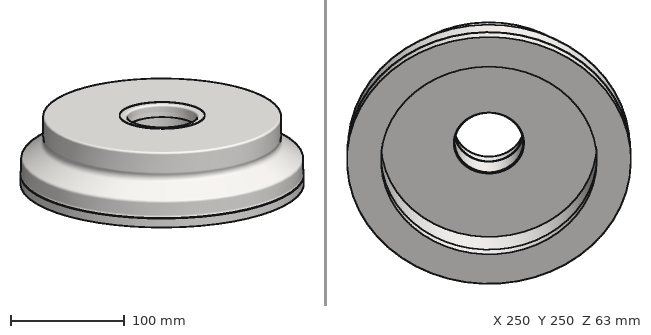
import cadquery as cq
import math


outer_radius = 125.0
total_height = 63.0
ring_height = 8.2
cavity_radius = 95.0

rim_radius = 124.2
lip_top_z = 9.0
flare_radius = 3.8
rim_wall_top_z = 22.5
rim_round = 3.0

shoulder_angle = math.radians(34)
neck_radius_lower = 6.0
neck_radius_upper = 5.0
undercut_angle = math.radians(20)

cap_radius = 105.0
cap_round = 2.0

recess_radius = 37.5
recess_depth = 0.5
mouth_radius = 30.8
mouth_round = 2.0
ledge_radius = 30.5
bore_radius = 30.0
taper_start_depth = 7.2
mouth_depth = 11.8
web_thickness = 32.0
bore_end_chamfer = 1.0


def on_arc(center, radius, angle):
    """Point of a circle in the (radius, z) half plane, angle measured from outward."""
    return (center[0] + radius * math.cos(angle), center[1] + radius * math.sin(angle))


def make_ring():
    return (
        cq.Workplane("XY")
        .circle(outer_radius)
        .circle(cavity_radius)
        .extrude(ring_height)
    )


def make_hub():
    flare_angle = math.acos(1 - (outer_radius - rim_radius) / flare_radius)
    flare_center = (rim_radius + flare_radius, lip_top_z + flare_radius * math.sin(flare_angle))
    flare_middle = on_arc(flare_center, flare_radius, math.pi + flare_angle / 2)
    flare_top = (rim_radius, flare_center[1])

    turn = math.pi / 2 - shoulder_angle
    rim_center = (rim_radius - rim_round, rim_wall_top_z)
    rim_middle = on_arc(rim_center, rim_round, turn / 2)
    shoulder_bottom = on_arc(rim_center, rim_round, turn)

    upper_center_r = cap_radius - neck_radius_upper
    lower_center_r = upper_center_r + (neck_radius_upper + neck_radius_lower) * math.cos(undercut_angle)
    shoulder_top_r = lower_center_r - neck_radius_lower * math.cos(turn)
    shoulder_top_z = shoulder_bottom[1] + (shoulder_bottom[0] - shoulder_top_r) * math.tan(shoulder_angle)
    lower_center = (lower_center_r, shoulder_top_z + neck_radius_lower * math.sin(turn))
    lower_middle = on_arc(lower_center, neck_radius_lower, math.pi + (turn - undercut_angle) / 2)
    neck_joint = on_arc(lower_center, neck_radius_lower, math.pi - undercut_angle)
    upper_center = (upper_center_r, neck_joint[1] + neck_radius_upper * math.sin(undercut_angle))
    upper_middle = on_arc(upper_center, neck_radius_upper, -undercut_angle / 2)

    cap_center = (cap_radius - cap_round, total_height - cap_round)
    recess_z = total_height - recess_depth
    mouth_center = (mouth_radius + mouth_round, recess_z - mouth_round)

    profile = (
        cq.Workplane("XZ")
        .moveTo(cavity_radius, ring_height)
        .lineTo(outer_radius, ring_height)
        .lineTo(outer_radius, lip_top_z)
        .threePointArc(flare_middle, flare_top)
        .lineTo(rim_radius, rim_wall_top_z)
        .threePointArc(rim_middle, shoulder_bottom)
        .lineTo(shoulder_top_r, shoulder_top_z)
        .threePointArc(lower_middle, neck_joint)
        .threePointArc(upper_middle, (cap_radius, upper_center[1]))
        .lineTo(cap_radius, cap_center[1])
        .threePointArc(on_arc(cap_center, cap_round, math.pi / 4), (cap_center[0], total_height))
        .lineTo(recess_radius, total_height)
        .lineTo(recess_radius, recess_z)
        .lineTo(mouth_center[0], recess_z)
        .threePointArc(
            on_arc(mouth_center, mouth_round, 3 * math.pi / 4),
            (mouth_radius, mouth_center[1]),
        )
        .lineTo(mouth_radius, total_height - taper_start_depth)
        .lineTo(ledge_radius, total_height - mouth_depth)
        .lineTo(bore_radius, total_height - mouth_depth)
        .lineTo(bore_radius, total_height - web_thickness + bore_end_chamfer)
        .lineTo(bore_radius + bore_end_chamfer, total_height - web_thickness)
        .lineTo(cavity_radius, total_height - web_thickness)
        .close()
    )
    return profile.revolve(360, (0, 0, 0), (0, 1, 0))


abrasive_ring = make_ring()
hub = make_hub()

result = cq.Compound.makeCompound([abrasive_ring.val(), hub.val()])